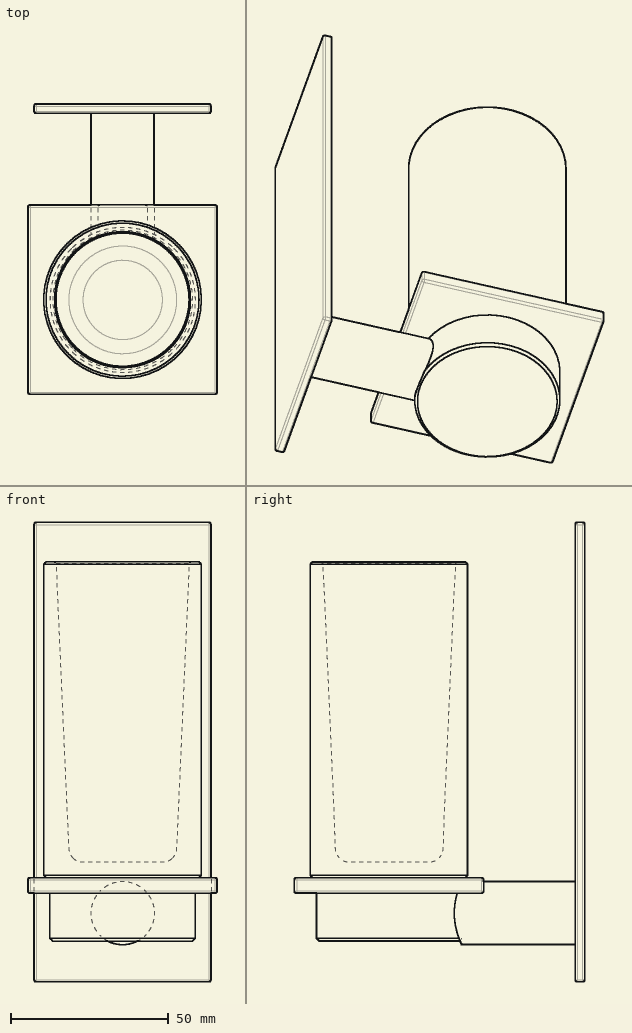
import cadquery as cq

plate_width = 56.0
plate_height = 145.6
plate_thickness = 3.0
plate_edge_radius = 0.7

tray_side = 60.0
tray_thickness = 5.0
tray_bottom = 28.1
tray_top = tray_bottom + tray_thickness
tray_edge_radius = 0.7
overall_depth = 92.0

cup_radius = 23.0
cup_bottom = 13.0
cup_edge_chamfer = 0.9

tumbler_diameter = 50.0
tumbler_radius = tumbler_diameter / 2
tumbler_top = 133.0
tumbler_edge_chamfer = 0.7
bore_mouth_radius = 21.1
bore_mouth_chamfer = 0.5
bore_floor_radius = 16.9
bore_floor_fillet = 4.5
floor_thickness = 5.0

arm_radius = 10.0
arm_axis_height = 21.8

plate_rear = overall_depth - tray_side / 2
plate_front = plate_rear - plate_thickness


def disc(radius, bottom, top):
    """Upright cylinder on the Z axis."""
    return cq.Workplane("XY").workplane(offset=bottom).circle(radius).extrude(top - bottom)


def make_plate():
    block = cq.Workplane("XY").box(
        plate_width, plate_thickness, plate_height, centered=(True, False, False)
    )
    return block.edges().fillet(plate_edge_radius).translate((0, plate_front, 0))


def make_tray():
    block = cq.Workplane("XY").box(
        tray_side, tray_side, tray_thickness, centered=(True, True, False)
    )
    return block.edges().fillet(tray_edge_radius).translate((0, 0, tray_bottom))


def make_cup():
    return disc(cup_radius, cup_bottom, tray_top).faces("<Z").chamfer(cup_edge_chamfer)


def make_bore():
    """Tapered cavity, rounded at its floor."""
    floor = tray_top + floor_thickness
    cavity = (
        cq.Workplane("XY")
        .workplane(offset=floor)
        .circle(bore_floor_radius)
        .workplane(offset=tumbler_top - floor)
        .circle(bore_mouth_radius)
        .loft(ruled=True)
    )
    return cavity.faces("<Z").edges().fillet(bore_floor_fillet)


def make_tumbler():
    body = disc(tumbler_radius, tray_top, tumbler_top)
    body = body.faces("<Z or >Z").edges().chamfer(tumbler_edge_chamfer)
    body = body.cut(make_bore())
    mouth_edge = cq.selectors.RadiusNthSelector(0)
    return body.faces(">Z").edges(mouth_edge).chamfer(bore_mouth_chamfer)


def make_arm():
    """Arm whose end is hollowed to sit against the round cup."""
    arm = (
        cq.Workplane("XZ", origin=(0, plate_front, arm_axis_height))
        .circle(arm_radius)
        .extrude(plate_front)
    )
    return arm.cut(disc(cup_radius, 0, tray_top))


result = make_plate()
for piece in (make_tray(), make_cup(), make_tumbler(), make_arm()):
    result = result.union(piece)